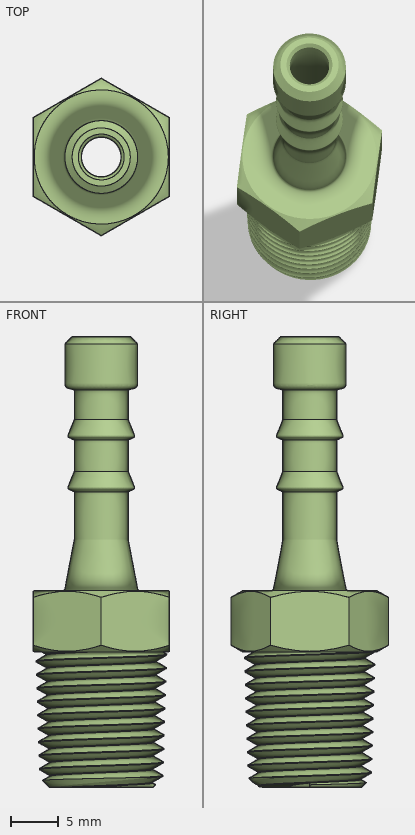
import cadquery as cq
import math

overall_length = 47.24
thread_length = 14.2
hex_height = 6.42
hex_top = thread_length + hex_height
envelope_margin = 1

hex_sides = 6
hex_across_flats = 14.29
hex_face_radius = 7.03
hex_chamfer_angle = 30

bore_radius = 2.07
bore_chamfer = 0.33

stem_radius = 2.83
stem_foot_height = 5.35
stem_foot_radius = 3.81
stem_fillet = 0.22

nose_radius = 3.81
nose_chamfer = 0.762
nose_length = 5.6
nose_back_cone = 0.25
nose_edge_fillet = 0.5
nose_back = overall_length - nose_length

barb_count = 2
barb_spacing = 5.42
barb_first_drop = 8.7
barb_radius = 3.55
barb_slope_length = 1.8
barb_length = 2.15
barb_edge_fillet = 0.18

thread_pitch = 25.4 / 18
taper_slope = 1 / 32
thread_tip_crest_radius = 6.425
thread_end_radius = 5.42
thread_depth = 1.05
flank_angle = 30
groove_phase = 0.515
points_per_turn = 4

largest_circle = cq.selectors.RadiusNthSelector(-1)


def revolved(points):
    """Solid of revolution about Z from (radius, height) points."""
    return cq.Workplane("XZ").polyline(points).close().revolve(360, (0, 0, 0), (0, 1, 0))


def crest_radius(height):
    """Thread crest radius on the taper at a given height."""
    return thread_tip_crest_radius + taper_slope * height


def hexagon():
    """Hexagonal body with its corners chamfered top and bottom and two flats facing +X and -X."""
    half_sector = 180 / hex_sides
    corner_diameter = hex_across_flats / math.cos(math.radians(half_sector))
    body = (
        cq.Workplane("XY")
        .workplane(offset=thread_length)
        .polygon(hex_sides, corner_diameter)
        .extrude(hex_height)
        .rotate((0, 0, 0), (0, 0, 1), half_sector)
    )
    rim_radius = corner_diameter / 2 + envelope_margin
    rim_drop = (rim_radius - hex_face_radius) * math.tan(math.radians(hex_chamfer_angle))
    envelope = revolved(
        [
            (0, thread_length),
            (hex_face_radius, thread_length),
            (rim_radius, thread_length + rim_drop),
            (rim_radius, hex_top - rim_drop),
            (hex_face_radius, hex_top),
            (0, hex_top),
        ]
    )
    return body.intersect(envelope)


def hose_stem():
    """Straight stem with a flared foot that is filleted into the hexagon."""
    foot_top = hex_top + stem_foot_height
    foot_bottom = hex_top + stem_fillet
    return (
        cq.Workplane("XZ")
        .moveTo(0, hex_top)
        .lineTo(stem_foot_radius + stem_fillet, hex_top)
        .radiusArc((stem_foot_radius, foot_bottom), stem_fillet)
        .lineTo(stem_radius, foot_top)
        .lineTo(stem_radius, nose_back)
        .lineTo(0, nose_back)
        .close()
        .revolve(360, (0, 0, 0), (0, 1, 0))
    )


def nose():
    """Cylindrical nose, chamfered at the tip, with a rounded back edge and a short back cone."""
    return (
        revolved(
            [
                (0, nose_back),
                (stem_radius, nose_back),
                (nose_radius, nose_back + nose_back_cone),
                (nose_radius, overall_length),
                (0, overall_length),
            ]
        )
        .faces(">Z")
        .chamfer(nose_chamfer)
        .edges(largest_circle)
        .edges("<Z")
        .fillet(nose_edge_fillet)
    )


def barb(top):
    """One barb: a long cone facing the tip, a rounded rim and a short back cone."""
    rim = top - barb_slope_length
    bottom = top - barb_length
    return (
        revolved([(0, top), (stem_radius, top), (barb_radius, rim), (stem_radius, bottom), (0, bottom)])
        .edges(largest_circle)
        .fillet(barb_edge_fillet)
    )


def thread_profile():
    """(radius, height) points of the thread outline at +X, one pitch repeated along the taper."""
    flank_rise = thread_depth * math.tan(math.radians(flank_angle))
    half_flat = (thread_pitch / 2 - flank_rise) / 2
    points = []
    for turn in range(-1, math.ceil(thread_length / thread_pitch) + 1):
        groove = groove_phase + turn * thread_pitch
        crest = groove + thread_pitch / 2
        for height in (groove - half_flat, groove + half_flat):
            points.append((crest_radius(height) - thread_depth, height))
        for height in (crest - half_flat, crest + half_flat):
            points.append((crest_radius(height), height))
    return points


def helix_turn(point):
    """One turn of a conical helix that starts at a profile point."""
    radius, height = point
    cone_angle = math.atan(taper_slope)
    slant_pitch = thread_pitch / math.cos(cone_angle)
    start = cq.Vector(0, 0, height)
    helix = cq.Wire.makeHelix(slant_pitch, slant_pitch, radius, start, angle=math.degrees(cone_angle))
    return helix.Edges()[0]


def helical_cap(first_points, helix):
    """Two faces closing one end of the thread: a helicoid, and the flat step where it starts."""
    bottom = cq.Vector(0, 0, first_points[0][1])
    top = cq.Vector(0, 0, first_points[-1][1])
    step_corners = [bottom] + [cq.Vector(radius, 0, height) for radius, height in first_points] + [top]
    step = cq.Face.makeFromWires(cq.Wire.makePolygon(step_corners, close=True))
    helicoid = cq.Face.makeRuledSurface(cq.Edge.makeLine(bottom, top), helix)
    return [step, helicoid]


def thread_solid():
    """Solid tapered thread bounded by one-turn helical strips, with a helical cap at each end."""
    points = thread_profile()
    helices = [helix_turn(point) for point in points[: 1 - points_per_turn]]
    faces = [cq.Face.makeRuledSurface(lower, upper) for lower, upper in zip(helices, helices[1:])]
    faces += helical_cap(points[: points_per_turn + 1], helices[0])
    faces += helical_cap(points[-points_per_turn - 1 :], helices[-1])
    return cq.Workplane(cq.Solid.makeSolid(cq.Shell.makeShell(faces)))


def threaded_end():
    """Tapered thread cut to length, with a 45 degree lead-in chamfer."""
    rim_radius = crest_radius(thread_length) + envelope_margin
    envelope = revolved(
        [
            (0, 0),
            (thread_end_radius, 0),
            (rim_radius, rim_radius - thread_end_radius),
            (rim_radius, thread_length),
            (0, thread_length),
        ]
    )
    return thread_solid().intersect(envelope)


def bore():
    """Through bore with a chamfered mouth at the hose end."""
    return revolved(
        [
            (0, 0),
            (bore_radius, 0),
            (bore_radius, overall_length - bore_chamfer),
            (bore_radius + bore_chamfer, overall_length),
            (0, overall_length),
        ]
    )


result = threaded_end().union(hexagon()).union(hose_stem()).union(nose())
for index in range(barb_count):
    result = result.union(barb(overall_length - barb_first_drop - index * barb_spacing))
result = result.cut(bore())